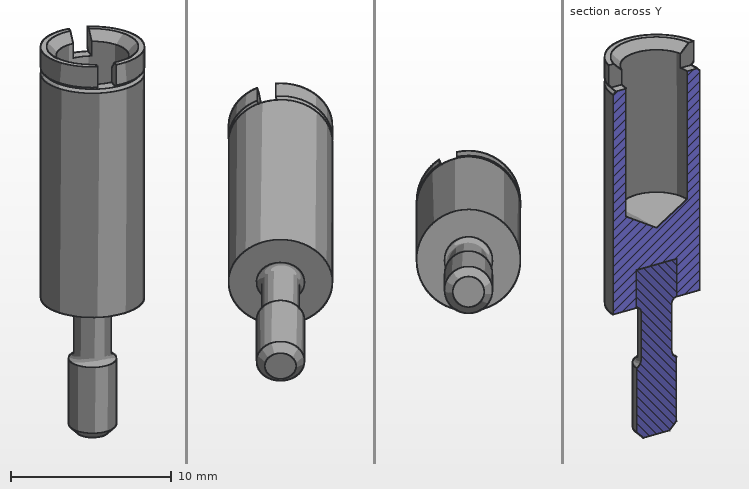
import cadquery as cq
import math

total_height = 26.1
pin_exposed_length = 9.1

housing_diameter = 6.5
housing_bottom = pin_exposed_length
housing_length = total_height - housing_bottom
bore_diameter = 4.55
bore_depth = 10.45
bore_point_angle = 118.0
mouth_diameter = 5.75
mouth_chamfer_depth = (mouth_diameter - bore_diameter) / 2
groove_diameter = 6.1
groove_depth = (housing_diameter - groove_diameter) / 2
slot_width = 1.2
slot_depth = 1.6

pin_diameter = 3.0
pin_tip_diameter = 1.95
pin_tip_chamfer = (pin_diameter - pin_tip_diameter) / 2
pin_shoulder_height = 4.99
neck_diameter = 2.35
shoulder_flare_radius = 0.5
root_fillet_radius = (pin_diameter - neck_diameter) / 2
pin_root_length = 2.6


def make_groove_cutter():
    """V-groove around the housing, centred on the level of the slot floor."""
    outer_radius = housing_diameter / 2
    groove_z = total_height - slot_depth
    return (
        cq.Workplane("XZ")
        .moveTo(groove_diameter / 2, groove_z)
        .lineTo(outer_radius, groove_z + groove_depth)
        .lineTo(outer_radius, groove_z - groove_depth)
        .close()
        .revolve(360, (0, 0, 0), (0, 1, 0))
    )


def make_bore_cutter():
    """Blind drilled bore with a chamfered mouth and a conical floor."""
    bore_radius = bore_diameter / 2
    bore_end = total_height - bore_depth
    point_depth = bore_radius / math.tan(math.radians(bore_point_angle / 2))
    return (
        cq.Workplane("XZ")
        .moveTo(0, total_height)
        .lineTo(mouth_diameter / 2, total_height)
        .lineTo(bore_radius, total_height - mouth_chamfer_depth)
        .lineTo(bore_radius, bore_end)
        .lineTo(0, bore_end - point_depth)
        .close()
        .revolve(360, (0, 0, 0), (0, 1, 0))
    )


def make_slot_cutter():
    """Screwdriver slot across the rim, running along X."""
    return (
        cq.Workplane("XY", origin=(0, 0, total_height - slot_depth))
        .rect(2 * housing_diameter, slot_width)
        .extrude(slot_depth)
    )


def make_pin_socket_cutter():
    """Blind hole in the housing floor that holds the root of the pin."""
    return (
        cq.Workplane("XY", origin=(0, 0, housing_bottom))
        .circle(pin_diameter / 2)
        .extrude(pin_root_length)
    )


def make_housing():
    return (
        cq.Workplane("XY", origin=(0, 0, housing_bottom))
        .circle(housing_diameter / 2)
        .extrude(housing_length)
        .cut(make_bore_cutter())
        .cut(make_groove_cutter())
        .cut(make_slot_cutter())
        .cut(make_pin_socket_cutter())
    )


def make_pin():
    """Turned pin: chamfered tip, thin neck flared into the shoulder and filleted into the root."""
    pin_radius = pin_diameter / 2
    neck_radius = neck_diameter / 2
    root_top = housing_bottom + pin_root_length
    flare_inset = neck_radius + shoulder_flare_radius - pin_radius
    flare_height = math.sqrt(shoulder_flare_radius**2 - flare_inset**2)
    return (
        cq.Workplane("XZ")
        .lineTo(pin_tip_diameter / 2, 0)
        .lineTo(pin_radius, pin_tip_chamfer)
        .lineTo(pin_radius, pin_shoulder_height)
        .radiusArc((neck_radius, pin_shoulder_height + flare_height), shoulder_flare_radius)
        .lineTo(neck_radius, housing_bottom - root_fillet_radius)
        .radiusArc((pin_radius, housing_bottom), root_fillet_radius)
        .lineTo(pin_radius, root_top)
        .lineTo(0, root_top)
        .close()
        .revolve(360, (0, 0, 0), (0, 1, 0))
    )


housing = make_housing()
pin = make_pin()

result = cq.Compound.makeCompound([housing.val(), pin.val()])